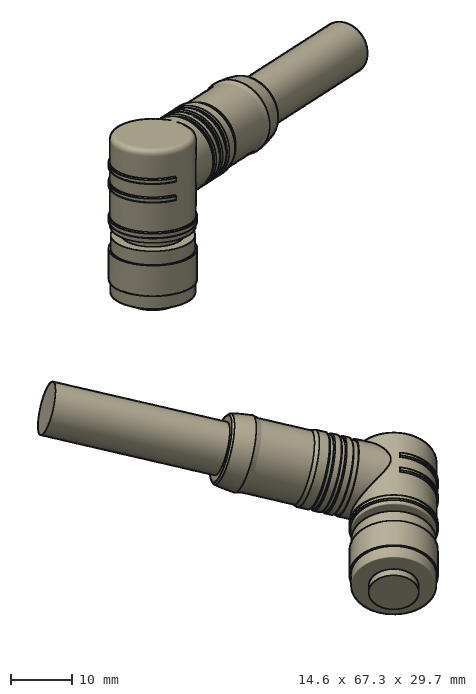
import cadquery as cq


total_length = 67.3
total_height = 29.7
max_diameter = 14.6
max_radius = max_diameter / 2
cable_end_y = total_length - max_radius

head_radius = 7.1
head_bottom_z = 13.2
head_top_fillet = 1.0
head_bottom_fillet = 0.2
ridge_flank = 0.2
collar_z = 14.6
collar_width = 1.15
rib_width = 1.0
rib_mid_z = 22.55
rib_spacing = 3.3
rib_end_y_left = 1.3
rib_end_y_right = -3.3

neck_radius = 5.1
nut_top_z = 11.7
nut_top_radius = 6.9
nut_grip_radius = 7.3
nut_grip_top_z = 9.3
nut_grip_bottom_z = 3.85
nut_bottom_radius = 7.0
nut_bottom_z = 1.4
nut_bottom_fillet = 0.2
socket_radius = 4.1

arm_radius = 6.5
crown_drop = 0.02
arm_axis_z = total_height - crown_drop - arm_radius
cable_radius = 4.5
sleeve_radius = 6.25
elbow_end_y = 8.2
arm_rib_width = 1.5
arm_rib_centers_y = (9.75, 11.8)
band_start_y = 13.05
band_flank = 0.3
band_ramp_start_y = 15.1
band_ramp_end_y = 15.8

bulge_start_y = 25.0
bulge_peak_y = 26.0
bulge_mid_y = 27.85
bulge_mid_radius = 6.3
bulge_end_y = 29.55
bulge_end_radius = 6.0
sleeve_end_y = 29.9
sleeve_end_chamfer = sleeve_end_y - bulge_end_y


def disc(radius, bottom_z, top_z):
    """Upright cylinder on the head axis."""
    return cq.Workplane("XY").workplane(offset=bottom_z).circle(radius).extrude(top_z - bottom_z)


def ridge_ring(center_z, root_width):
    """Ring with sloped sides, standing out from the head to the largest radius."""
    root = root_width / 2
    tip = root - ridge_flank
    profile = (
        cq.Workplane("XZ")
        .moveTo(neck_radius, center_z - root)
        .lineTo(head_radius, center_z - root)
        .lineTo(max_radius, center_z - tip)
        .lineTo(max_radius, center_z + tip)
        .lineTo(head_radius, center_z + root)
        .lineTo(neck_radius, center_z + root)
        .close()
    )
    return profile.revolve(360, (0, 0, 0), (0, 1, 0))


def head_rib(center_z):
    """Ridge around the -Y side of the head, ending at a different Y on each side."""
    keep_zone = (
        cq.Workplane("XY")
        .workplane(offset=center_z - rib_width)
        .moveTo(-max_diameter, -max_diameter)
        .lineTo(max_diameter, -max_diameter)
        .lineTo(max_diameter, rib_end_y_right)
        .lineTo(0, rib_end_y_right)
        .lineTo(0, rib_end_y_left)
        .lineTo(-max_diameter, rib_end_y_left)
        .close()
        .extrude(2 * rib_width)
    )
    return ridge_ring(center_z, rib_width).intersect(keep_zone)


def make_head():
    head = disc(head_radius, head_bottom_z, total_height)
    head = head.faces(">Z").edges().fillet(head_top_fillet)
    head = head.faces("<Z").edges().fillet(head_bottom_fillet)
    head = head.union(ridge_ring(collar_z, collar_width))
    for side in (-1, 1):
        head = head.union(head_rib(rib_mid_z + side * rib_spacing / 2))
    return head


def make_nut():
    lower_nut = disc(nut_bottom_radius, nut_bottom_z, nut_grip_bottom_z)
    lower_nut = lower_nut.faces("<Z").edges().fillet(nut_bottom_fillet)
    return (
        disc(neck_radius, nut_top_z, head_bottom_z)
        .union(disc(nut_top_radius, nut_grip_top_z, nut_top_z))
        .union(disc(nut_grip_radius, nut_grip_bottom_z, nut_grip_top_z))
        .union(lower_nut)
        .union(disc(socket_radius, 0, nut_bottom_z))
    )


def make_arm():
    """Elbow stub, ribbed sleeve with a rounded end, and cable, turned about the arm axis."""
    profile = (
        cq.Workplane("XY")
        .moveTo(0, 0)
        .lineTo(arm_radius, 0)
        .lineTo(arm_radius, elbow_end_y)
        .lineTo(sleeve_radius, elbow_end_y)
    )
    for center_y in arm_rib_centers_y:
        root = arm_rib_width / 2
        tip = root - ridge_flank
        profile = (
            profile.lineTo(sleeve_radius, center_y - root)
            .lineTo(arm_radius, center_y - tip)
            .lineTo(arm_radius, center_y + tip)
            .lineTo(sleeve_radius, center_y + root)
        )
    profile = (
        profile.lineTo(sleeve_radius, band_start_y)
        .lineTo(arm_radius, band_start_y + band_flank)
        .lineTo(arm_radius, band_ramp_start_y)
        .lineTo(sleeve_radius, band_ramp_end_y)
        .lineTo(sleeve_radius, bulge_start_y)
        .lineTo(arm_radius, bulge_peak_y)
        .threePointArc((bulge_mid_radius, bulge_mid_y), (bulge_end_radius, bulge_end_y))
        .lineTo(bulge_end_radius - sleeve_end_chamfer, sleeve_end_y)
        .lineTo(cable_radius, sleeve_end_y)
        .lineTo(cable_radius, cable_end_y)
        .lineTo(0, cable_end_y)
        .close()
    )
    return profile.revolve(360, (0, 0, 0), (0, 1, 0)).translate((0, 0, arm_axis_z))


result = make_head().union(make_nut()).union(make_arm())